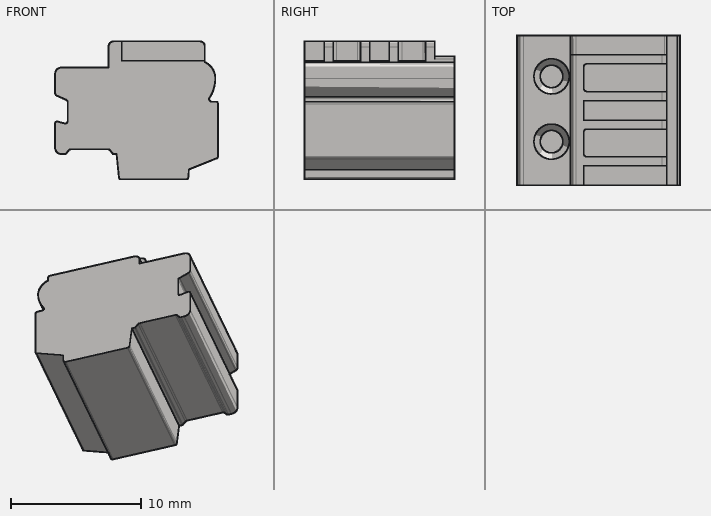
import cadquery as cq
import math

LENGTH = 12.5
WIDTH = 11.5
HEIGHT = 10.6
FRONT_Y = -WIDTH / 2
REAR_Y = WIDTH / 2

FOOT_X = 4.71
HOOK_Z = 1.94
UNDERSIDE_Z = 2.3
LEDGE_Z = 8.59
SHELF_Z = 5.98
GROOVE_X = 0.96
POCKET_FLOOR_Z = 9.1
REAR_STEP_Z = 9.46

BLOCK_X0 = 4.1
BLOCK_X1 = 11.5
BLOCK_ROUND = 0.41
REAR_STEP_ROUND = 0.22
BODY_EDGE_ROUND = 0.5
GROOVE_MOUTH_ROUND = 0.25
SMALL_ROUND = 0.18

PITCH = 2.5
POCKET_COUNT = 4
POCKET_X0 = 5.11
WIDE_POCKET = 2.12
NARROW_POCKET = 1.5
POCKET_ROUND = 0.25
STEP_Y = 2 * PITCH - NARROW_POCKET / 2

RECESS_X = 2.65
RECESS_REAR_Y = 2.6
RECESS_TOP_DIAMETER = 2.7
RECESS_FLOOR_DIAMETER = 1.72
RECESS_DEPTH = 0.5

LOBE_X = 12.3
LOBE_Z = 7.75
LOBE_UPPER_RADIUS = 1.38
LOBE_LOWER_RADIUS = 2.74
LOBE_LOWER_END = (11.9, 6.32)
LOBE_NOTCH_MIDDLE = (11.84, 6.09)
LOBE_NOTCH_END = (11.95, SHELF_Z)


def rounded_outline(corners):
    """Closed XZ outline from (x, z, radius) corners; a zero radius stays sharp."""
    outline = None
    for i, (x, z, radius) in enumerate(corners):
        corner = cq.Vector(x, z)
        before = cq.Vector(*corners[i - 1][:2]) - corner
        after = cq.Vector(*corners[(i + 1) % len(corners)][:2]) - corner
        before = before.normalized()
        after = after.normalized()
        half_angle = before.getAngle(after) / 2
        setback = radius / math.tan(half_angle)
        start = (corner + before * setback).toTuple()[:2]
        if outline is None:
            outline = cq.Workplane("XZ", origin=(0, REAR_Y, 0)).moveTo(*start)
        else:
            outline = outline.lineTo(*start)
        if radius > 0:
            bisector = (before + after).normalized()
            reach = radius / math.sin(half_angle) - radius
            middle = (corner + bisector * reach).toTuple()[:2]
            end = (corner + after * setback).toTuple()[:2]
            outline = outline.threePointArc(middle, end)
    return outline.close()


def make_body():
    """Full-width section, topped at the height of the rear step."""
    return rounded_outline([
        (0, HOOK_Z, BODY_EDGE_ROUND),
        (0.82, HOOK_Z, SMALL_ROUND),
        (1.11, UNDERSIDE_Z, SMALL_ROUND),
        (4.16, UNDERSIDE_Z, SMALL_ROUND),
        (4.45, HOOK_Z, SMALL_ROUND / 2),
        (FOOT_X, HOOK_Z, 0),
        (4.91, 0, SMALL_ROUND),
        (10.22, 0, SMALL_ROUND),
        (10.28, 0.76, 0),
        (LENGTH, 1.65, SMALL_ROUND),
        (LENGTH, SHELF_Z, SMALL_ROUND),
        (BLOCK_X1, SHELF_Z, 0),
        (BLOCK_X1, REAR_STEP_Z, REAR_STEP_ROUND),
        (BLOCK_X0, REAR_STEP_Z, BLOCK_ROUND),
        (BLOCK_X0, LEDGE_Z, 0),
        (0, LEDGE_Z, BODY_EDGE_ROUND),
        (0, 6.48, GROOVE_MOUTH_ROUND),
        (GROOVE_X, 6.05, SMALL_ROUND),
        (GROOVE_X, 4.25, SMALL_ROUND),
        (0, 4.5, SMALL_ROUND),
    ]).extrude(WIDTH)


def make_lobe():
    """Bulge beside the block, undercut where it meets the shelf."""
    upper_center_x = LOBE_X - LOBE_UPPER_RADIUS
    top_z = LOBE_Z + math.sqrt(LOBE_UPPER_RADIUS**2 - (BLOCK_X1 - upper_center_x)**2)
    return (
        cq.Workplane("XZ", origin=(0, REAR_Y, 0))
        .moveTo(BLOCK_X1, SHELF_Z)
        .lineTo(*LOBE_NOTCH_END)
        .threePointArc(LOBE_NOTCH_MIDDLE, LOBE_LOWER_END)
        .radiusArc((LOBE_X, LOBE_Z), -LOBE_LOWER_RADIUS)
        .radiusArc((BLOCK_X1, top_z), -LOBE_UPPER_RADIUS)
        .close()
        .extrude(WIDTH)
    )


def make_block():
    """Raised block in front of the rear step."""
    return (
        cq.Workplane("XY")
        .box(BLOCK_X1 - BLOCK_X0, STEP_Y - FRONT_Y, HEIGHT - LEDGE_Z, centered=False)
        .edges("|Y and >Z")
        .fillet(BLOCK_ROUND)
        .translate((BLOCK_X0, FRONT_Y, LEDGE_Z))
    )


def make_pocket(center_y, width):
    """Slot open at the top and the +X side; the wide ones have rounded inner corners."""
    pocket = (
        cq.Workplane("XY")
        .box(LENGTH - POCKET_X0, width, HEIGHT - POCKET_FLOOR_Z, centered=(False, True, False))
    )
    if width == WIDE_POCKET:
        pocket = pocket.edges("|Z and <X").fillet(POCKET_ROUND)
    return pocket.translate((POCKET_X0, center_y, POCKET_FLOOR_Z))


def make_recess(center_y):
    """Flat-bottomed cone sunk into the ledge."""
    return (
        cq.Workplane("XY", origin=(RECESS_X, center_y, LEDGE_Z - RECESS_DEPTH))
        .circle(RECESS_FLOOR_DIAMETER / 2)
        .workplane(offset=RECESS_DEPTH)
        .circle(RECESS_TOP_DIAMETER / 2)
        .loft()
    )


result = make_body().union(make_lobe()).union(make_block())
for index in range(POCKET_COUNT):
    pocket_width = WIDE_POCKET if index % 2 == 0 else NARROW_POCKET
    result = result.cut(make_pocket(PITCH - index * PITCH, pocket_width))
for recess_y in (RECESS_REAR_Y, RECESS_REAR_Y - 2 * PITCH):
    result = result.cut(make_recess(recess_y))